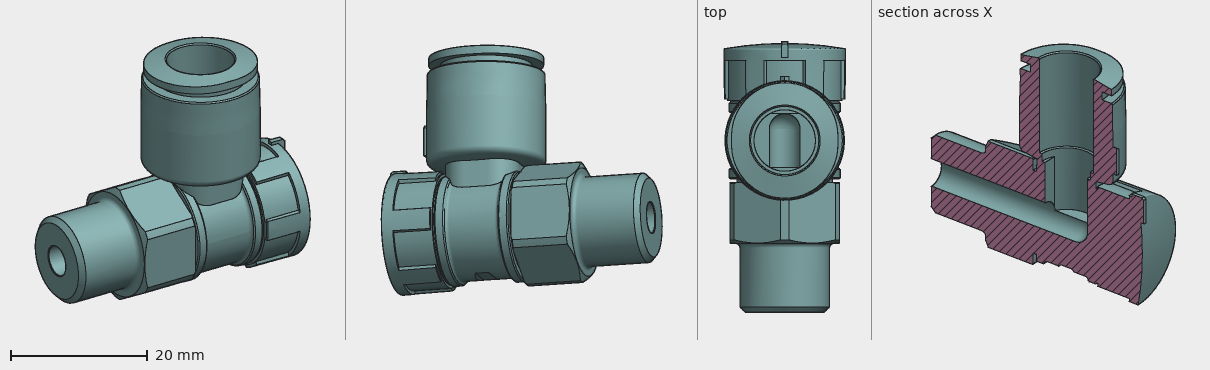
import cadquery as cq
import math


overlap = 0.4

stud_end = -25.15
stud_diameter = 13.15
stud_chamfer = 0.8
nut_front = -15.05
nut_back = -6.15
nut_across_flats = 16.1
nut_corner_diameter = 17.9
nut_face_radius = 7.95
nut_chamfer_length = 0.5
nut_back_bevel = 0.15
relief_radius = 7.25
relief_length = 0.67
spacer_radius = 7.0
body_radius = 7.53
body_half_length = 5.63
collar_radius = 8.15
collar_inner = 4.28
collar_bevel = 0.2
waist_half_length = 3.53
notch_depth = 0.35
notch_bottom_width = 2.0
notch_top_width = 2.85

cap_start = 5.82
cap_rib_start = 6.05
cap_rib_end_radius = 8.85
cap_core_radius = 8.4
cap_diameter = 17.85
cap_radius = cap_diameter / 2
cap_flange_start = 11.7
cap_flange_end = 13.47
cap_edge_rounding = 0.25
cap_dome_top = 14.22
panel_count = 6
panel_floor_width = 5.3
pointer_width = 0.9
pointer_front = 12.15
pointer_back = 14.45
pointer_bottom = 5.07
pointer_top = 9.4
pointer_foot = 8.5
pointer_bevel = 0.3

neck_width = 11.1
neck_corner_radius = 3.72
port_diameter = 17.5
port_top_diameter = 17.27
port_bottom = 9.07
port_bottom_radius = 5.63
port_rounding_bottom = 9.4
port_rounding_top = 10.35
port_rounding_radius = 1.0
port_seam = 18.0
port_top = 23.3
port_top_chamfer = 0.2
sleeve_diameter = 13.5
ring_width = 15.57
ring_length = 16.9
ring_bottom = 24.52
ring_top = 26.23
ring_cone_drop = 0.6
marker_width = 1.2
marker_bottom = 11.5
marker_shoulder = 15.6
marker_top = 16.1
marker_reach = 9.4

bore_diameter = 4.5
bore_chamfer = 0.1
tube_diameter = 10.0
tube_chamfer = 0.2
tube_floor = port_rounding_top
passage_diameter = 9.0
passage_length = 7.85
passage_top = port_bottom


def revolve_about_run(points):
    """Solid of revolution about Y from (radius, y) points."""
    return cq.Workplane("XY").polyline(points).close().revolve(360, (0, 0, 0), (0, 1, 0))


def make_run_body():
    stud_radius = stud_diameter / 2
    bevel_radius = collar_radius - collar_bevel
    hollow_radius = collar_inner - collar_bevel - waist_half_length
    body = (
        cq.Workplane("XY")
        .moveTo(0, stud_end)
        .lineTo(stud_radius - stud_chamfer, stud_end)
        .lineTo(stud_radius, stud_end + stud_chamfer)
        .lineTo(stud_radius, nut_front - relief_length)
        .radiusArc((relief_radius, nut_front), relief_length)
        .lineTo(spacer_radius, nut_back)
        .lineTo(spacer_radius, -body_half_length)
        .lineTo(bevel_radius, -body_half_length)
        .lineTo(collar_radius, collar_bevel - body_half_length)
        .lineTo(collar_radius, -collar_inner)
        .lineTo(bevel_radius, collar_bevel - collar_inner)
        .radiusArc((body_radius, -waist_half_length), hollow_radius)
        .lineTo(body_radius, waist_half_length)
        .radiusArc((bevel_radius, collar_inner - collar_bevel), hollow_radius)
        .lineTo(collar_radius, collar_inner)
        .lineTo(collar_radius, body_half_length - collar_bevel)
        .lineTo(bevel_radius, body_half_length)
        .lineTo(bevel_radius, cap_start)
        .lineTo(0, cap_start)
        .close()
        .revolve(360, (0, 0, 0), (0, 1, 0))
    )
    notch = (
        cq.Workplane("YZ")
        .moveTo(-notch_top_width / 2, -body_radius)
        .lineTo(-notch_bottom_width / 2, notch_depth - body_radius)
        .lineTo(notch_bottom_width / 2, notch_depth - body_radius)
        .lineTo(notch_top_width / 2, -body_radius)
        .close()
        .extrude(body_radius, both=True)
    )
    return body.cut(notch)


def make_nut():
    """Hexagon with corners on Z, turned down at its corners and chamfered at both ends."""
    hexagon = (
        cq.Workplane("XZ", origin=(0, nut_back, 0))
        .transformed(rotate=(0, 0, 90))
        .polygon(6, nut_across_flats / math.cos(math.pi / 6))
        .extrude(nut_back - nut_front)
    )
    turned_blank = revolve_about_run([
        (0, nut_front),
        (nut_face_radius, nut_front),
        (nut_corner_diameter / 2, nut_front + nut_chamfer_length),
        (nut_corner_diameter / 2, nut_back - nut_back_bevel),
        (nut_corner_diameter / 2 - nut_back_bevel, nut_back),
        (0, nut_back),
    ])
    return hexagon.intersect(turned_blank)


def make_cap_panel(center_angle):
    """Cutter for one grip panel: side walls open out at 45 degrees on each side of the floor."""
    half_floor = panel_floor_width / 2
    floor_distance = math.sqrt(cap_core_radius**2 - half_floor**2)
    apex = floor_distance - half_floor
    cutter = (
        cq.Workplane("XZ", origin=(0, cap_flange_start, 0))
        .polyline([(apex, 0), (apex + cap_radius, -cap_radius), (apex + cap_radius, cap_radius)])
        .close()
        .extrude(cap_flange_start - cap_start)
    )
    return cutter.rotate((0, 0, 0), (0, 1, 0), center_angle)


def make_cap():
    core_end = cap_flange_start + overlap
    core = (
        cq.Workplane("XZ", origin=(0, core_end, 0))
        .circle(cap_core_radius)
        .extrude(core_end - cap_start)
    )

    rim_radius = cap_radius - cap_edge_rounding
    dome_rise = cap_dome_top - cap_flange_end
    dome_radius = (rim_radius**2 + dome_rise**2) / (2 * dome_rise)
    skin = (
        cq.Workplane("XY")
        .moveTo(0, cap_rib_start)
        .lineTo(cap_rib_end_radius, cap_rib_start)
        .lineTo(cap_radius, cap_flange_end - cap_edge_rounding)
        .radiusArc((rim_radius, cap_flange_end), -cap_edge_rounding)
        .radiusArc((0, cap_dome_top), -dome_radius)
        .close()
        .revolve(360, (0, 0, 0), (0, 1, 0))
    )
    panel_pitch = 360 / panel_count
    for index in range(panel_count):
        skin = skin.cut(make_cap_panel(panel_pitch * (index + 0.5)))
    cap = core.union(skin)

    pointer = (
        cq.Workplane("YZ")
        .polyline([
            (cap_flange_end - cap_edge_rounding, pointer_bottom),
            (pointer_back, pointer_bottom),
            (pointer_back, pointer_top - pointer_bevel),
            (pointer_back - pointer_bevel, pointer_top),
            (pointer_front, pointer_top),
            (pointer_front, pointer_foot),
            (cap_flange_end - cap_edge_rounding, pointer_foot),
        ])
        .close()
        .extrude(pointer_width / 2, both=True)
    )
    return cap.union(pointer)


def make_port():
    neck = (
        cq.Workplane("XY")
        .rect(neck_width, neck_width)
        .extrude(port_bottom + overlap)
        .edges("|Z")
        .fillet(neck_corner_radius)
    )
    port_radius = port_diameter / 2
    shell = (
        cq.Workplane("XZ")
        .moveTo(0, port_bottom)
        .lineTo(port_bottom_radius, port_bottom)
        .lineTo(port_radius - port_rounding_radius, port_rounding_bottom)
        .radiusArc((port_radius, port_rounding_top), -port_rounding_radius)
        .lineTo(port_radius, port_seam)
        .lineTo(port_top_diameter / 2, port_top - port_top_chamfer)
        .lineTo(port_top_diameter / 2 - port_top_chamfer, port_top)
        .lineTo(0, port_top)
        .close()
        .revolve(360, (0, 0, 0), (0, 1, 0))
    )

    half_mark = marker_width / 2
    marker = (
        cq.Workplane("XZ", origin=(0, marker_reach, 0))
        .polyline([
            (-half_mark, marker_bottom),
            (half_mark, marker_bottom),
            (half_mark, marker_shoulder),
            (0, marker_top),
            (-half_mark, marker_shoulder),
        ])
        .close()
        .extrude(marker_reach - port_radius + overlap)
    )
    return neck.union(shell).union(marker)


def make_release_ring():
    """Sleeve carrying an oblong push ring with a shallow conical top."""
    sleeve = (
        cq.Workplane("XY", origin=(0, 0, port_top))
        .circle(sleeve_diameter / 2)
        .extrude(ring_bottom - port_top)
    )
    oblong = (
        cq.Workplane("XY", origin=(0, 0, ring_bottom))
        .slot2D(ring_length, ring_width, 90)
        .extrude(ring_top - ring_bottom)
    )
    half_length = ring_length / 2
    cone = (
        cq.Workplane("XZ")
        .polyline([
            (0, ring_bottom),
            (half_length, ring_bottom),
            (half_length, ring_top - ring_cone_drop),
            (tube_diameter / 2 + tube_chamfer, ring_top),
            (0, ring_top),
        ])
        .close()
        .revolve(360, (0, 0, 0), (0, 1, 0))
    )
    return sleeve.union(oblong.intersect(cone))


def make_passages():
    """Round-ended run bore, the flat-sided passage it feeds, and the stepped tube socket above."""
    bore_radius = bore_diameter / 2
    passage_end = passage_length / 2
    bore = (
        cq.Workplane("XY")
        .moveTo(0, stud_end)
        .lineTo(bore_radius + bore_chamfer, stud_end)
        .lineTo(bore_radius, stud_end + bore_chamfer)
        .lineTo(bore_radius, passage_end - bore_radius)
        .radiusArc((0, passage_end), -bore_radius)
        .close()
        .revolve(360, (0, 0, 0), (0, 1, 0))
    )
    passage = (
        cq.Workplane("XY")
        .circle(passage_diameter / 2)
        .extrude(passage_top)
        .intersect(cq.Workplane("XY").box(passage_diameter, passage_length, 2 * passage_top))
    )
    step = (
        cq.Workplane("XY", origin=(0, 0, passage_top))
        .circle(passage_diameter / 2)
        .extrude(tube_floor - passage_top)
    )
    tube_radius = tube_diameter / 2
    tube = (
        cq.Workplane("XZ")
        .polyline([
            (0, tube_floor),
            (tube_radius, tube_floor),
            (tube_radius, ring_top - tube_chamfer),
            (tube_radius + tube_chamfer, ring_top),
            (0, ring_top),
        ])
        .close()
        .revolve(360, (0, 0, 0), (0, 1, 0))
    )
    return bore.union(passage).union(step).union(tube)


outside = (
    make_run_body()
    .union(make_nut())
    .union(make_cap())
    .union(make_port())
    .union(make_release_ring())
)
result = outside.cut(make_passages())